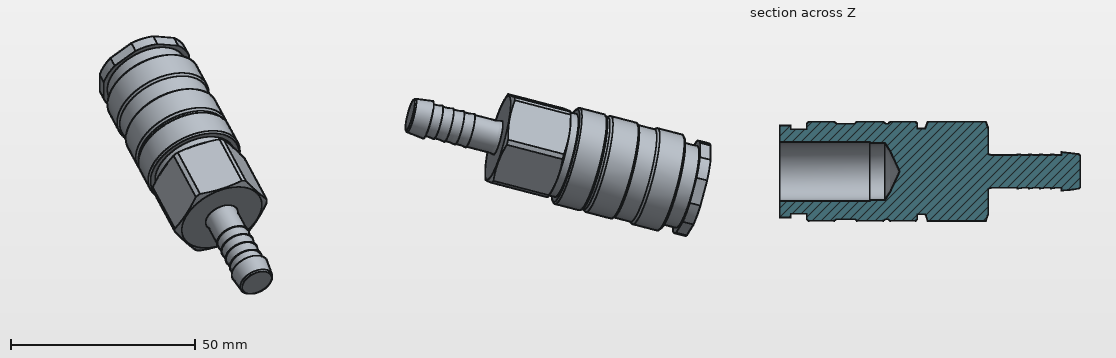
import cadquery as cq
import math

total_length = 81.5
neck_radius = 23.0 / 2
waist_radius = 23.3 / 2
ring_radius = 27.0 / 2
sleeve_radius = 26.0 / 2
bevel = 0.5
long_bevel = 0.7
ring_1_start = 7.3
ring_2_start = 20.4
ring_3_start = 29.4
ring_1_end = 15.5
ring_2_end = 28.8
ring_3_end = 37.3

flange_length = 3.0
flange_radius = 26.0 / 2
flange_across_flats = 25.0

nut_start = 39.45
nut_end = 56.6
nut_across_flats = 24.05
nut_corner_radius = ring_radius
nut_face_radius = 23.5 / 2
nut_bevel = 0.65

tail_radius = 9.0 / 2
root_collar = 0.25
root_length = 1.0
barb_start = 64.5
barb_pitch = 3.0
barb_count = 4
barb_length = 1.5
barb_height = 0.25
tip_barb_start = 76.4
tip_barb_radius = 5.3
tip_end_radius = 4.7
tip_bevel = 0.4

mouth_radius = 16.0 / 2
bore_radius = 15.4 / 2
seat_radius = 11.1 / 2
mouth_depth = 24.45
bore_depth = 28.5
seat_length = 1.4
drill_point_angle = 130.0


def revolve_about_x(profile):
    """Turn an open (x, radius) profile, closed along the axis, into a solid."""
    first_x = profile[0][0]
    last_x = profile[-1][0]
    outline = [(first_x, 0)] + profile + [(last_x, 0)]
    return cq.Workplane("XY").polyline(outline).close().revolve(360, (0, 0, 0), (1, 0, 0))


def hexagon(start, end, across_flats, turn):
    """Hexagonal bar along X; a turn of 0 degrees puts its corners on the Y axis."""
    across_corners = across_flats / math.cos(math.radians(30))
    bar = cq.Workplane("YZ", origin=(start, 0, 0)).polygon(6, across_corners).extrude(end - start)
    return bar.rotate((0, 0, 0), (1, 0, 0), turn)


def ring_points(start, end, end_bevel):
    """Raised ring rising from the sleeve and bevelled back down to it."""
    return [
        (start, sleeve_radius),
        (start + bevel, ring_radius),
        (end - end_bevel, ring_radius),
        (end, sleeve_radius),
    ]


def make_body():
    profile = [(0, neck_radius), (ring_1_start, neck_radius)]
    profile += ring_points(ring_1_start, ring_1_end, long_bevel)
    profile += ring_points(ring_2_start, ring_2_end, long_bevel)
    profile += ring_points(ring_3_start, ring_3_end, bevel)
    profile += [(ring_3_end, waist_radius), (nut_end, waist_radius)]
    return revolve_about_x(profile)


def make_flange():
    disc = revolve_about_x([(0, flange_radius), (flange_length, flange_radius)])
    return disc.intersect(hexagon(0, flange_length, flange_across_flats, 30))


def make_nut():
    envelope = revolve_about_x([
        (nut_start, nut_face_radius),
        (nut_start + nut_bevel, nut_corner_radius),
        (nut_end - nut_bevel, nut_corner_radius),
        (nut_end, nut_face_radius),
    ])
    return envelope.intersect(hexagon(nut_start, nut_end, nut_across_flats, 0))


def make_tail():
    profile = [
        (nut_end, tail_radius + root_collar),
        (nut_end + root_length, tail_radius),
    ]
    for index in range(barb_count):
        x = barb_start + index * barb_pitch
        profile += [
            (x, tail_radius),
            (x, tail_radius + barb_height),
            (x + barb_length, tail_radius),
        ]
    profile += [
        (tip_barb_start, tail_radius),
        (tip_barb_start, tip_barb_radius),
        (total_length - tip_bevel, tip_end_radius),
        (total_length, tip_end_radius - tip_bevel),
    ]
    return revolve_about_x(profile)


def make_bore():
    seat_end = bore_depth + seat_length
    point_length = seat_radius / math.tan(math.radians(drill_point_angle / 2))
    outline = [
        (0, 0),
        (0, mouth_radius),
        (mouth_depth, mouth_radius),
        (mouth_depth, bore_radius),
        (bore_depth, bore_radius),
        (seat_end, seat_radius),
        (seat_end + point_length, 0),
    ]
    return cq.Workplane("XY").polyline(outline).close().revolve(360, (0, 0, 0), (1, 0, 0))


result = make_body().union(make_flange()).union(make_nut()).union(make_tail()).cut(make_bore())